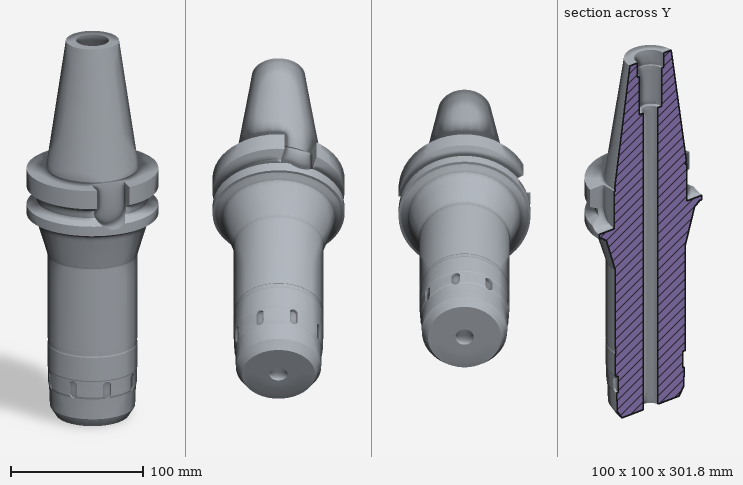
import cadquery as cq
import math

TOTAL_LENGTH = 301.8

GAUGE_Z = 200.0
GAUGE_RADIUS = 35.0
TAPER_RATIO = 7 / 24
SMALL_END_RADIUS = GAUGE_RADIUS - (TOTAL_LENGTH - GAUGE_Z) * TAPER_RATIO / 2
NECK_RADIUS = 34.0

FLANGE_DIAMETER = 100.0
FLANGE_RADIUS = FLANGE_DIAMETER / 2
NECK_HEIGHT = 1.5
FLANGE_TOP_Z = GAUGE_Z - NECK_HEIGHT
FLANGE_BOTTOM_Z = 162.0
GROOVE_CENTER_Z = 177.0
GROOVE_MOUTH = 14.2
GROOVE_RADIUS = 42.5
GROOVE_WALL_ANGLE = 30.0
GROOVE_WALL_RISE = (FLANGE_RADIUS - GROOVE_RADIUS) * math.tan(math.radians(GROOVE_WALL_ANGLE))
GROOVE_TOP_Z = GROOVE_CENTER_Z + GROOVE_MOUTH / 2
GROOVE_BOTTOM_Z = GROOVE_CENTER_Z - GROOVE_MOUTH / 2

SHOULDER_STEP_RADIUS = 47.7
SHOULDER_TOP_RADIUS = 43.0
SHOULDER_TOP_Z = 158.5
SHOULDER_END_Z = 129.5
BODY_RADIUS = 34.0
BODY_END_Z = 62.2

NUT_GAP_RADIUS = 33.8
NUT_TOP_Z = 58.5
NUT_RADIUS = 34.0
NUT_EDGE = 1.0
SLOT_BAND_TOP_Z = 39.0
SLOT_BAND_TOP_RADIUS = 33.8
SLOT_BAND_END_Z = 25.5
SLOT_BAND_END_RADIUS = 33.5
NOSE_TOP_Z = 23.5
NOSE_TOP_RADIUS = 33.0
NOSE_CHAMFER_Z = 7.2
NOSE_CHAMFER_RADIUS = 32.3
NOSE_END_RADIUS = 27.8

SPANNER_SLOT_COUNT = 8
SPANNER_SLOT_WIDTH = 6.3
SPANNER_SLOT_TOP_Z = 37.5
SPANNER_SLOT_BOTTOM_Z = NOSE_TOP_Z
SPANNER_SLOT_FLOOR = 31.5

KEYWAY_COUNT = 2
KEYWAY_WIDTH = 26.0
KEYWAY_FLOOR_SPACING = 70.3
KEYWAY_FLOOR_X = KEYWAY_FLOOR_SPACING / 2
KEYWAY_BOTTOM_Z = 166.3

COUNTERBORE_RADIUS = 12.5
COUNTERBORE_DEPTH = 12.5
THREAD_BORE_RADIUS = 10.5
THREAD_BORE_DEPTH = 45.3
THROUGH_HOLE_RADIUS = 7.0


def turned_body():
    """Solid of revolution with the whole outer profile, as (radius, z) from the nose up."""
    profile = [
        (0, 0),
        (NOSE_END_RADIUS, 0),
        (NOSE_CHAMFER_RADIUS, NOSE_CHAMFER_Z),
        (NOSE_TOP_RADIUS, NOSE_TOP_Z),
        (SLOT_BAND_END_RADIUS, SLOT_BAND_END_Z),
        (SLOT_BAND_TOP_RADIUS, SLOT_BAND_TOP_Z - NUT_EDGE),
        (NUT_RADIUS, SLOT_BAND_TOP_Z),
        (NUT_RADIUS, NUT_TOP_Z - NUT_EDGE),
        (NUT_GAP_RADIUS, NUT_TOP_Z),
        (NUT_GAP_RADIUS, BODY_END_Z),
        (BODY_RADIUS, BODY_END_Z),
        (BODY_RADIUS, SHOULDER_END_Z),
        (SHOULDER_TOP_RADIUS, SHOULDER_TOP_Z),
        (SHOULDER_STEP_RADIUS, FLANGE_BOTTOM_Z),
        (FLANGE_RADIUS, FLANGE_BOTTOM_Z),
        (FLANGE_RADIUS, GROOVE_BOTTOM_Z),
        (GROOVE_RADIUS, GROOVE_BOTTOM_Z + GROOVE_WALL_RISE),
        (GROOVE_RADIUS, GROOVE_TOP_Z - GROOVE_WALL_RISE),
        (FLANGE_RADIUS, GROOVE_TOP_Z),
        (FLANGE_RADIUS, FLANGE_TOP_Z),
        (NECK_RADIUS, FLANGE_TOP_Z),
        (NECK_RADIUS, GAUGE_Z),
        (GAUGE_RADIUS, GAUGE_Z),
        (SMALL_END_RADIUS, TOTAL_LENGTH),
        (0, TOTAL_LENGTH),
    ]
    return cq.Workplane("XZ").polyline(profile).close().revolve(360, (0, 0), (0, 1))


def keyway_cutter():
    """Round-bottomed keyway on the +X side, open at the top of the flange."""
    half_width = KEYWAY_WIDTH / 2
    arc_center_z = KEYWAY_BOTTOM_Z + half_width
    return (
        cq.Workplane("YZ", origin=(KEYWAY_FLOOR_X, 0, 0))
        .moveTo(-half_width, FLANGE_TOP_Z)
        .lineTo(-half_width, arc_center_z)
        .threePointArc((0, KEYWAY_BOTTOM_Z), (half_width, arc_center_z))
        .lineTo(half_width, FLANGE_TOP_Z)
        .close()
        .extrude(FLANGE_RADIUS)
    )


def spanner_slot_cutter():
    """Round-ended slot with a flat floor, on the +X side of the nut."""
    length = SPANNER_SLOT_TOP_Z - SPANNER_SLOT_BOTTOM_Z
    middle_z = (SPANNER_SLOT_TOP_Z + SPANNER_SLOT_BOTTOM_Z) / 2
    return (
        cq.Workplane("YZ", origin=(SPANNER_SLOT_FLOOR, 0, middle_z))
        .slot2D(length, SPANNER_SLOT_WIDTH, 90)
        .extrude(NUT_RADIUS)
    )


def bore_cutter(radius, depth):
    """Cylinder on the axis, sunk from the small end of the taper."""
    return cq.Workplane("XY", origin=(0, 0, TOTAL_LENGTH - depth)).circle(radius).extrude(depth)


def cut_around_axis(body, cutter, count):
    """Cut copies of the cutter evenly spaced about Z."""
    for index in range(count):
        body = body.cut(cutter.rotate((0, 0, 0), (0, 0, 1), index * 360 / count))
    return body


result = turned_body()
result = cut_around_axis(result, keyway_cutter(), KEYWAY_COUNT)
result = cut_around_axis(result, spanner_slot_cutter(), SPANNER_SLOT_COUNT)
result = result.cut(bore_cutter(COUNTERBORE_RADIUS, COUNTERBORE_DEPTH))
result = result.cut(bore_cutter(THREAD_BORE_RADIUS, THREAD_BORE_DEPTH))
result = result.cut(bore_cutter(THROUGH_HOLE_RADIUS, TOTAL_LENGTH))